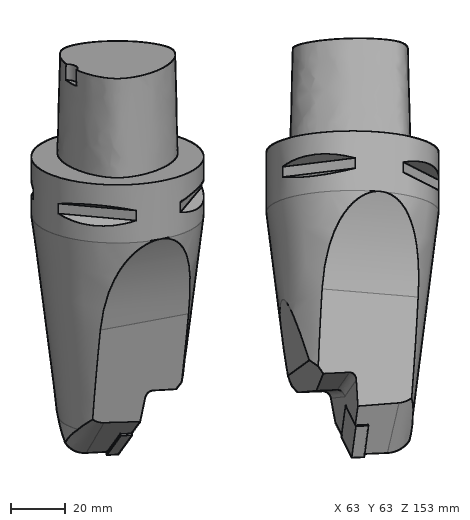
import cadquery as cq
import math

FLANGE_R = 31.5
FLANGE_HEIGHT = 22.3
SHANK_HEIGHT = 38.0
TIP_Z = SHANK_HEIGHT - 153
BEYOND = 45.9

SHANK_BASE_R = 22.0
SHANK_TOP_R = SHANK_BASE_R - SHANK_HEIGHT / 40
LOBE_HEIGHT = 1.45
LOBE_POINTS = 36
NOTCH_R = 4.7
NOTCH_CENTER_Y = -22.2
NOTCH_DEPTH = 6.1

GROOVE_COUNT = 4
GROOVE_Z = -12.1
GROOVE_FLOOR_R = 27.8
GROOVE_FLOOR_WIDTH = 3.8
GROOVE_WALL_ANGLE = 30

NECK_END_R = 22.0
NECK_END_Z = -99.5

FLAT_START_X = 19.9
FLAT_START_Z = -57.7
FLAT_ANGLE = 9.8

RELIEF_START_Z = FLAT_START_Z
RELIEF_BEND = (20.8, -83.0)
RELIEF_END = (13.9, -90.9)
POCKET_FLOOR_RISE = 0.2
POCKET_CORNER_R = 2.6

TIP_Y = 0.3
RAKE_ANGLE = 7
TAN_RAKE = math.tan(math.radians(RAKE_ANGLE))
INSERT_EDGE = 12.9
INSERT_THICKNESS = 4.9
POINT_HALF_ANGLE = 40
INSERT_OVERHANG = 1.2
HEEL_START_Y = -13.3
HEEL_END = (-NECK_END_R, -106.6)


def neck_radius(z):
    fraction = (z + FLANGE_HEIGHT) / (NECK_END_Z + FLANGE_HEIGHT)
    return FLANGE_R + fraction * (NECK_END_R - FLANGE_R)


def lobe_wire(radius, z):
    """Closed outline with one lobe pointing along +Y, from its support function."""
    points = []
    for i in range(LOBE_POINTS):
        angle = 2 * math.pi * i / LOBE_POINTS
        phase = 3 * (angle - math.pi / 2)
        reach = radius + LOBE_HEIGHT * math.cos(phase)
        slide = -3 * LOBE_HEIGHT * math.sin(phase)
        x = reach * math.cos(angle) - slide * math.sin(angle)
        y = reach * math.sin(angle) + slide * math.cos(angle)
        points.append(cq.Vector(x, y, z))
    return cq.Wire.assembleEdges([cq.Edge.makeSpline(points, periodic=True)])


def make_shank():
    base = lobe_wire(SHANK_BASE_R, 0)
    top = lobe_wire(SHANK_TOP_R, SHANK_HEIGHT)
    shank = cq.Workplane(cq.Solid.makeLoft([base, top]))
    notch = (
        cq.Workplane("XY", origin=(0, NOTCH_CENTER_Y, SHANK_HEIGHT))
        .circle(NOTCH_R)
        .extrude(-NOTCH_DEPTH)
    )
    return shank.cut(notch)


def make_flange_and_neck():
    return (
        cq.Workplane("XZ")
        .moveTo(0, 0)
        .lineTo(FLANGE_R, 0)
        .lineTo(FLANGE_R, -FLANGE_HEIGHT)
        .lineTo(NECK_END_R, NECK_END_Z)
        .lineTo(NECK_END_R, TIP_Z)
        .lineTo(0, TIP_Z)
        .close()
        .revolve(360, (0, 0), (0, 1))
    )


def groove_cutter(angle):
    depth = FLANGE_R - GROOVE_FLOOR_R
    inner = GROOVE_FLOOR_WIDTH / 2
    outer = inner + depth * math.tan(math.radians(GROOVE_WALL_ANGLE))
    return (
        cq.Workplane("XZ")
        .polyline([
            (GROOVE_FLOOR_R, GROOVE_Z - inner),
            (FLANGE_R, GROOVE_Z - outer),
            (FLANGE_R, GROOVE_Z + outer),
            (GROOVE_FLOOR_R, GROOVE_Z + inner),
        ])
        .close()
        .extrude(FLANGE_R, both=True)
        .rotate((0, 0, 0), (0, 0, 1), angle)
    )


def flat_cutter():
    """Removes the +X side: a leaning flat that runs out to the flange in an arc."""
    slope = math.tan(math.radians(FLAT_ANGLE))
    end_x = FLAT_START_X - slope * (FLAT_START_Z - TIP_Z)
    return (
        cq.Workplane("XZ")
        .moveTo(end_x, TIP_Z)
        .lineTo(FLAT_START_X, FLAT_START_Z)
        .tangentArcPoint((FLANGE_R, -FLANGE_HEIGHT), relative=False)
        .lineTo(BEYOND, -FLANGE_HEIGHT)
        .lineTo(BEYOND, TIP_Z)
        .close()
        .extrude(BEYOND, both=True)
    )


def relief_cutter():
    """Slopes off the +Y side of the neck above the chip pocket."""
    return (
        cq.Workplane("YZ")
        .polyline([
            (neck_radius(RELIEF_START_Z), RELIEF_START_Z),
            RELIEF_BEND,
            RELIEF_END,
            (RELIEF_END[0], TIP_Z),
            (BEYOND, TIP_Z),
            (BEYOND, RELIEF_START_Z),
        ])
        .close()
        .extrude(BEYOND, both=True)
    )


def oblique_prisms(outline, direction):
    """Sweeps a YZ outline from X = 0 to both sides along mirrored slanted directions."""
    face = cq.Face.makeFromWires(outline.val())
    run_x, run_y, run_z = direction
    return [
        cq.Workplane(cq.Solid.extrudeLinear(face, cq.Vector(side * run_x, run_y, run_z)))
        for side in (-1, 1)
    ]


def pocket_cutters():
    """Chip pocket in front of the insert, with its floor falling to a ridge at X = 0."""
    end_y, end_z = RELIEF_END
    wall_y_at_end = TIP_Y + TAN_RAKE * (end_z - TIP_Z)
    floor_length = (end_y - wall_y_at_end) * math.cos(math.radians(RAKE_ANGLE))
    rake = math.radians(RAKE_ANGLE)
    floor_dir = cq.Vector(-math.cos(rake), math.sin(rake), 0)
    wall_dir = cq.Vector(-math.sin(rake), -math.cos(rake), 0)
    corner = cq.Vector(end_y, end_z, 0) + floor_dir * floor_length
    floor_end = corner - floor_dir * POCKET_CORNER_R
    wall_start = corner + wall_dir * POCKET_CORNER_R
    floor_start = corner - floor_dir * BEYOND
    wall_end = corner + wall_dir * BEYOND
    outline = (
        cq.Workplane("YZ")
        .moveTo(floor_start.x, floor_start.y)
        .lineTo(floor_end.x, floor_end.y)
        .tangentArcPoint((wall_start.x, wall_start.y), relative=False)
        .lineTo(wall_end.x, wall_end.y)
        .lineTo(floor_start.x, wall_end.y)
        .close()
    )
    rise = BEYOND * POCKET_FLOOR_RISE
    return oblique_prisms(outline, (BEYOND, rise * TAN_RAKE, rise))


def nose_cutters():
    """Shapes the pointed nose, whose ridge rises toward -Y and curves up at the heel."""
    nose_z = TIP_Z + INSERT_OVERHANG

    def ridge_z(y):
        return nose_z + TAN_RAKE * (TIP_Y - y)

    depth_z = TIP_Z - 2 * BEYOND
    outline = (
        cq.Workplane("YZ")
        .moveTo(BEYOND, ridge_z(BEYOND))
        .lineTo(HEEL_START_Y, ridge_z(HEEL_START_Y))
        .tangentArcPoint(HEEL_END, relative=False)
        .lineTo(-BEYOND, HEEL_END[1])
        .lineTo(-BEYOND, depth_z)
        .lineTo(BEYOND, depth_z)
        .close()
    )
    rise = BEYOND / math.tan(math.radians(POINT_HALF_ANGLE))
    return oblique_prisms(outline, (BEYOND, 0, rise))


def make_insert():
    """Rhombic plate leaning by the rake angle, with its sharp corner at the tip."""
    half_angle = math.radians(POINT_HALF_ANGLE)
    half_width = INSERT_EDGE * math.sin(half_angle)
    half_height = INSERT_EDGE * math.cos(half_angle)
    return (
        cq.Workplane("XZ", origin=(0, TIP_Y, TIP_Z))
        .polyline([
            (0, 0),
            (half_width, half_height),
            (0, 2 * half_height),
            (-half_width, half_height),
        ])
        .close()
        .extrude(INSERT_THICKNESS)
        .rotate((0, TIP_Y, TIP_Z), (1, TIP_Y, TIP_Z), -RAKE_ANGLE)
    )


def make_holder(insert):
    holder = make_flange_and_neck()
    flat = flat_cutter()
    cutters = [flat, flat.mirror("YZ"), relief_cutter(), *pocket_cutters(), *nose_cutters()]
    for i in range(GROOVE_COUNT):
        cutters.append(groove_cutter(45 + i * 360 / GROOVE_COUNT))
    for cutter in cutters:
        holder = holder.cut(cutter)
    return holder.union(make_shank()).cut(insert)


insert = make_insert()
holder = make_holder(insert)

result = cq.Compound.makeCompound([holder.solids().val(), insert.val()])